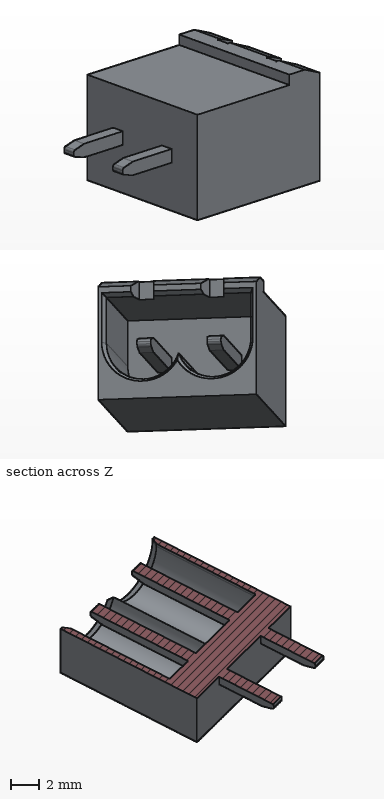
import cadquery as cq

overall_length = 16.8
body_width = 11.45
body_length = 12.0
body_height = 8.01
back_y = overall_length / 2
front_y = back_y - body_length

ridge_height = 0.79
ridge_length = 2.99
slope_length = 1.51
slope_drop = 0.6

pin_pitch = 5.07
pin_count = 2
pin_z = 4.18
pin_width = 1.0
pin_height = 1.05
pin_tip_length = 1.02
pin_tip_height = 0.47
pin_tip_radius = 0.2
pin_recess = 0.69

lobe_radius = 2.69
cavity_top_z = 7.51
cavity_depth = 9.24
mouth_depth = 0.54
mouth_growth = 0.25

notch_mouth_width = 1.65
notch_end_width = 1.02
notch_depth = 1.73

overall_height = body_height + ridge_height
pin_positions = [(i - (pin_count - 1) / 2) * pin_pitch for i in range(pin_count)]


def make_body():
    """Block with the sloped ridge, drawn in the YZ plane and centred on X."""
    ridge_front_y = back_y - ridge_length
    profile = [
        (front_y, 0),
        (back_y, 0),
        (back_y, overall_height - slope_drop),
        (back_y - slope_length, overall_height),
        (ridge_front_y, overall_height),
        (ridge_front_y, body_height),
        (front_y, body_height),
    ]
    return cq.Workplane("YZ").polyline(profile).close().extrude(body_width / 2, both=True)


def cavity_outline(depth, growth):
    """Cavity section at a depth below the back face: flat top, one round lobe under each pin."""
    radius = lobe_radius + growth
    top_z = cavity_top_z + growth
    side_x = pin_positions[-1] + radius
    cusp_x = pin_pitch / 2
    cusp_z = pin_z - (radius**2 - cusp_x**2) ** 0.5

    plane = cq.Plane(origin=(0, back_y - depth, 0), xDir=(1, 0, 0), normal=(0, -1, 0))
    outline = cq.Workplane(plane).moveTo(-side_x, top_z).lineTo(-side_x, pin_z)
    for x in pin_positions:
        is_last = x == pin_positions[-1]
        end = (side_x, pin_z) if is_last else (x + cusp_x, cusp_z)
        outline = outline.threePointArc((x, pin_z - radius), end)
    return outline.lineTo(side_x, top_z).close()


def make_cavity():
    straight = cavity_outline(0, 0).extrude(cavity_depth)
    mouth_start = cavity_outline(0, mouth_growth).val()
    mouth_end = cavity_outline(mouth_depth, 0).val()
    mouth = cq.Workplane(cq.Solid.makeLoft([mouth_start, mouth_end], True))
    return straight.union(mouth)


def make_notch(x):
    """Wedge narrowing away from the back face, from pin height up through the ridge."""
    end_y = back_y - notch_depth
    outline = [
        (x - notch_mouth_width / 2, back_y),
        (x + notch_mouth_width / 2, back_y),
        (x + notch_end_width / 2, end_y),
        (x - notch_end_width / 2, end_y),
    ]
    height = overall_height - pin_z
    return cq.Workplane("XY", origin=(0, 0, pin_z)).polyline(outline).close().extrude(height)


def make_pin(x):
    """Rectangular pin tapered in height toward both rounded tips."""
    tip_ys = (-overall_length / 2, back_y - pin_recess)
    taper_ys = (tip_ys[0] + pin_tip_length, tip_ys[1] - pin_tip_length)
    half = pin_height / 2
    tip_half = pin_tip_height / 2
    profile = [
        (tip_ys[0], pin_z - tip_half),
        (taper_ys[0], pin_z - half),
        (taper_ys[1], pin_z - half),
        (tip_ys[1], pin_z - tip_half),
        (tip_ys[1], pin_z + tip_half),
        (taper_ys[1], pin_z + half),
        (taper_ys[0], pin_z + half),
        (tip_ys[0], pin_z + tip_half),
    ]
    outline = cq.Workplane("YZ", origin=(x, 0, 0)).polyline(profile).close()
    pin = outline.extrude(pin_width / 2, both=True)
    return pin.faces("<Y or >Y").edges("|X").fillet(pin_tip_radius)


result = make_body().cut(make_cavity())
for pin_x in pin_positions:
    result = result.cut(make_notch(pin_x))
for pin_x in pin_positions:
    result = result.union(make_pin(pin_x))